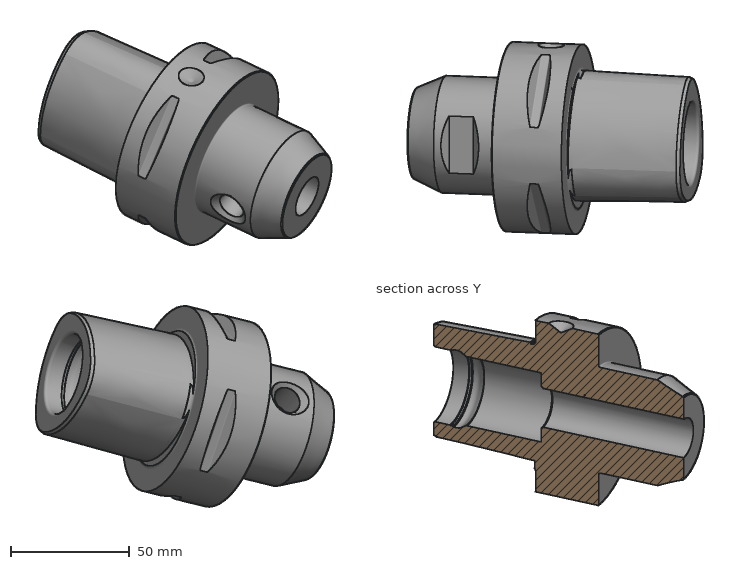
import cadquery as cq
import math

TIP_X = -59.0
FLANGE_FRONT_X = -11.0
FLANGE_BACK_X = 19.0
CONE_START_X = 46.6
NOSE_X = 59.0

SHANK_MEAN_RADIUS = 27.5
LOBE_SPACING = 24.0
RADIUS_TAPER = 1 / 40
TAPER_END_X = -13.5
TIP_CHAMFER_LENGTH = 1.5
TIP_CHAMFER_DEPTH = 0.7

SEAT_RADIUS = 30.5
SEAT_HEIGHT = 0.5
RELIEF_RADIUS = 28.4
RELIEF_RUN_IN = 0.5
RELIEF_FILLET = SEAT_RADIUS - RELIEF_RADIUS

FLANGE_RADIUS = 80.0 / 2
FLANGE_CHAMFER = 0.4

GRIP_X = 1.0
GRIP_COUNT = 4
GRIP_FLOOR_DISTANCE = 35.5
GRIP_FLOOR_WIDTH = 3.5
GRIP_CORNER_FILLET = 0.6
GRIP_WALL_ANGLE = 30.0

DIMPLE_RADIUS = 5.5
DIMPLE_DEPTH = 3.2

BODY_RADIUS = 49.5 / 2
BODY_ROOT_FILLET = 0.6
NOSE_RADIUS = 38.0 / 2
NOSE_CHAMFER = 0.5

SCREW_X = 35.4
SCREW_RADIUS = 11.8 / 2
SCREW_SINK_RADIUS = 8.7
BACK_GROOVE_DISTANCE = 21.5
BACK_GROOVE_FLOOR_WIDTH = 10.4
BACK_GROOVE_TOP_WIDTH = 16.2

MOUTH_FILLET = 1.2
MOUTH_RADIUS = 17.3
MOUTH_END_X = -51.1
CLAMP_STEP_RADIUS = 17.6
CLAMP_STEP_END_X = -49.8
CLAMP_GROOVE_RADIUS = 17.9
CLAMP_GROOVE_END_X = -47.8
CLAMP_CONE_RADIUS = 17.3
CLAMP_CONE_X = -45.8
CAVITY_NECK_RADIUS = 15.6
CAVITY_RADIUS = 32.0 / 2
CAVITY_START_X = -43.1
CAVITY_END_X = -8.3

BORE_RADIUS = 17.8 / 2
BORE_CHAMFER = 1.0


def lobed_wire(x, mean_radius):
    """Constant-width outline at station x: a rounded Reuleaux triangle with one lobe pointing to +Z."""
    lobe_radius = mean_radius - LOBE_SPACING / 2
    flank_radius = mean_radius + LOBE_SPACING / 2
    center_reach = LOBE_SPACING / math.sqrt(3)

    def arc_point(center_angle, radius, normal_angle):
        """Point of an arc whose outward normal has the given angle, in degrees from +Y."""
        center_turn = math.radians(center_angle)
        normal_turn = math.radians(normal_angle)
        return (
            center_reach * math.cos(center_turn) + radius * math.cos(normal_turn),
            center_reach * math.sin(center_turn) + radius * math.sin(normal_turn),
        )

    outline = cq.Workplane("YZ", origin=(x, 0, 0)).moveTo(*arc_point(90, lobe_radius, 60))
    for lobe_angle in (90, 210, 330):
        flank_angle = lobe_angle + 60
        opposite_angle = flank_angle - 180
        lobe_middle = arc_point(lobe_angle, lobe_radius, lobe_angle)
        lobe_end = arc_point(lobe_angle, lobe_radius, lobe_angle + 30)
        flank_middle = arc_point(opposite_angle, flank_radius, flank_angle)
        flank_end = arc_point(opposite_angle, flank_radius, flank_angle + 30)
        outline = outline.threePointArc(lobe_middle, lobe_end).threePointArc(flank_middle, flank_end)
    return outline.wire().val()


def lobed_loft(x1, radius1, x2, radius2):
    wires = [lobed_wire(x1, radius1), lobed_wire(x2, radius2)]
    return cq.Workplane(cq.Solid.makeLoft(wires, True))


def turned(profile):
    """Revolve a closed (x, radius) profile about the X axis."""
    return profile.close().revolve(360, (0, 0, 0), (1, 0, 0))


def make_shank():
    chamfer_x = TIP_X + TIP_CHAMFER_LENGTH
    small_radius = SHANK_MEAN_RADIUS - RADIUS_TAPER * (TAPER_END_X - chamfer_x)
    seat_x = FLANGE_FRONT_X - SEAT_HEIGHT
    tip = lobed_loft(TIP_X, small_radius - TIP_CHAMFER_DEPTH, chamfer_x, small_radius)
    taper = lobed_loft(chamfer_x, small_radius, TAPER_END_X, SHANK_MEAN_RADIUS)
    neck = lobed_loft(TAPER_END_X, SHANK_MEAN_RADIUS, FLANGE_FRONT_X, SHANK_MEAN_RADIUS)
    seat = turned(
        cq.Workplane("XY")
        .moveTo(seat_x, 0)
        .lineTo(seat_x, SEAT_RADIUS)
        .lineTo(FLANGE_FRONT_X, SEAT_RADIUS)
        .lineTo(FLANGE_FRONT_X, 0)
    )
    return tip.union(taper).union(neck).union(seat)


def make_relief():
    fillet_start_x = FLANGE_FRONT_X - RELIEF_FILLET
    return turned(
        cq.Workplane("XY")
        .moveTo(fillet_start_x - RELIEF_RUN_IN, SEAT_RADIUS)
        .lineTo(fillet_start_x, RELIEF_RADIUS)
        .radiusArc((FLANGE_FRONT_X, SEAT_RADIUS), -RELIEF_FILLET)
    )


def make_flange():
    length = FLANGE_BACK_X - FLANGE_FRONT_X
    flange = cq.Workplane("YZ", origin=(FLANGE_FRONT_X, 0, 0)).circle(FLANGE_RADIUS).extrude(length)
    return flange.faces(">X").edges().chamfer(FLANGE_CHAMFER)


def make_body():
    return turned(
        cq.Workplane("XY")
        .moveTo(FLANGE_FRONT_X, 0)
        .lineTo(FLANGE_BACK_X, 0)
        .lineTo(FLANGE_BACK_X, BODY_RADIUS + BODY_ROOT_FILLET)
        .radiusArc((FLANGE_BACK_X + BODY_ROOT_FILLET, BODY_RADIUS), -BODY_ROOT_FILLET)
        .lineTo(CONE_START_X, BODY_RADIUS)
        .lineTo(NOSE_X - NOSE_CHAMFER, NOSE_RADIUS + NOSE_CHAMFER)
        .lineTo(NOSE_X, NOSE_RADIUS)
        .lineTo(NOSE_X, 0)
    )


def make_chord_groove(x, floor_distance, floor_width, top_distance, top_width):
    """Trapezoidal groove along Z whose floor faces +Y."""
    return (
        cq.Workplane("XY")
        .moveTo(x - floor_width / 2, floor_distance)
        .lineTo(x + floor_width / 2, floor_distance)
        .lineTo(x + top_width / 2, top_distance)
        .lineTo(x - top_width / 2, top_distance)
        .close()
        .extrude(FLANGE_RADIUS, both=True)
    )


def make_grip_grooves():
    depth = FLANGE_RADIUS - GRIP_FLOOR_DISTANCE
    top_width = GRIP_FLOOR_WIDTH + 2 * depth * math.tan(math.radians(GRIP_WALL_ANGLE))
    groove = make_chord_groove(GRIP_X, GRIP_FLOOR_DISTANCE, GRIP_FLOOR_WIDTH, FLANGE_RADIUS, top_width)
    groove = groove.faces("<Y").edges("|Z").fillet(GRIP_CORNER_FILLET)
    step = 360 / GRIP_COUNT
    grooves = cq.Workplane("XY")
    for index in range(GRIP_COUNT):
        grooves = grooves.add(groove.rotate((0, 0, 0), (1, 0, 0), step * (index + 0.5)))
    return grooves.combine()


def make_dimple():
    apex = cq.Vector(GRIP_X, 0, FLANGE_RADIUS - DIMPLE_DEPTH)
    cone = cq.Solid.makeCone(0, DIMPLE_RADIUS, DIMPLE_DEPTH, apex, cq.Vector(0, 0, 1))
    return cq.Workplane(cone)


def make_screw_hole():
    hole = cq.Solid.makeCylinder(SCREW_RADIUS, BODY_RADIUS, cq.Vector(SCREW_X, 0, 0), cq.Vector(0, -1, 0))
    sink_depth = SCREW_SINK_RADIUS - SCREW_RADIUS
    sink_start = cq.Vector(SCREW_X, sink_depth - BODY_RADIUS, 0)
    sink = cq.Solid.makeCone(SCREW_RADIUS, SCREW_SINK_RADIUS, sink_depth, sink_start, cq.Vector(0, -1, 0))
    return cq.Workplane(hole).union(cq.Workplane(sink))


def make_cavity():
    return turned(
        cq.Workplane("XY")
        .moveTo(TIP_X, 0)
        .lineTo(TIP_X, MOUTH_RADIUS + MOUTH_FILLET)
        .radiusArc((TIP_X + MOUTH_FILLET, MOUTH_RADIUS), -MOUTH_FILLET)
        .lineTo(MOUTH_END_X, MOUTH_RADIUS)
        .lineTo(MOUTH_END_X + CLAMP_STEP_RADIUS - MOUTH_RADIUS, CLAMP_STEP_RADIUS)
        .lineTo(CLAMP_STEP_END_X, CLAMP_STEP_RADIUS)
        .lineTo(CLAMP_STEP_END_X + CLAMP_GROOVE_RADIUS - CLAMP_STEP_RADIUS, CLAMP_GROOVE_RADIUS)
        .lineTo(CLAMP_GROOVE_END_X, CLAMP_GROOVE_RADIUS)
        .tangentArcPoint((CLAMP_CONE_X, CLAMP_CONE_RADIUS), relative=False)
        .lineTo(CAVITY_START_X, CAVITY_NECK_RADIUS)
        .lineTo(CAVITY_START_X, CAVITY_RADIUS)
        .lineTo(CAVITY_END_X, CAVITY_RADIUS)
        .lineTo(CAVITY_END_X, BORE_RADIUS + BORE_CHAMFER)
        .lineTo(CAVITY_END_X + BORE_CHAMFER, BORE_RADIUS)
        .lineTo(NOSE_X, BORE_RADIUS)
        .lineTo(NOSE_X, 0)
    )


def make_back_groove():
    return make_chord_groove(
        SCREW_X, BACK_GROOVE_DISTANCE, BACK_GROOVE_FLOOR_WIDTH, BODY_RADIUS, BACK_GROOVE_TOP_WIDTH
    )


result = (
    make_shank()
    .cut(make_relief())
    .union(make_flange())
    .union(make_body())
    .cut(make_grip_grooves())
    .cut(make_dimple())
    .cut(make_screw_hole())
    .cut(make_back_groove())
    .cut(make_cavity())
)